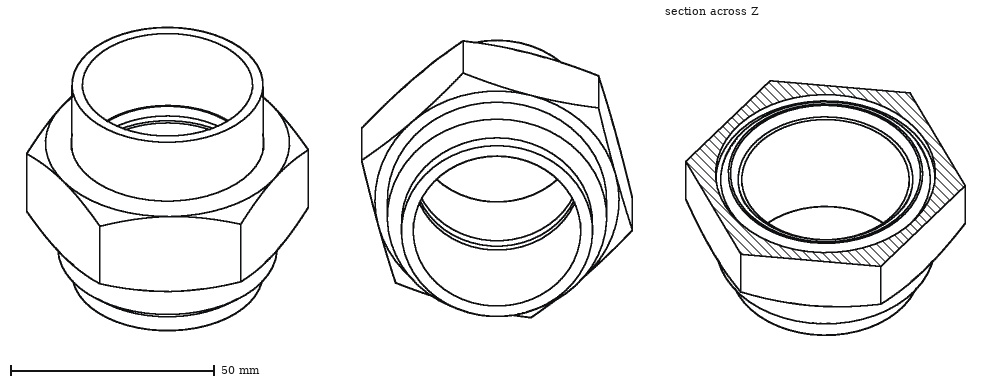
import cadquery as cq
import math

total_height = 58.0
pipe_radius = 23.5
bore_radius = 20.6
socket_radius = 20.9
socket_depth = 22.1

nut_corner_radius = 34.65
nut_bottom = 17.0
nut_top = 40.05
nut_lip_thickness = 3.45
nut_clearance = 0.2
chamfer_angle = 30.0

collar_radius = 26.95
collar_cone_bottom = 4.3
collar_cone_top = 7.6
seat_height = 30.75

tail_bottom = 32.9
seat_lip_width = 0.9

nut_flat_radius = nut_corner_radius * math.cos(math.pi / 6)
chamfer_height = (nut_corner_radius - nut_flat_radius) * math.tan(math.radians(chamfer_angle))
lip_underside = nut_top - nut_lip_thickness
ring_section_radius = tail_bottom - seat_height
ring_centre_radius = bore_radius + seat_lip_width + ring_section_radius


def revolve_profile(points):
    """Revolve a closed outline of (radius, height) points around Z."""
    return cq.Workplane("XZ").polyline(points).close().revolve(360, (0, 0), (0, 1))


def make_seal_ring():
    return (
        cq.Workplane("XZ")
        .center(ring_centre_radius, seat_height)
        .circle(ring_section_radius)
        .revolve(360, (-ring_centre_radius, 0), (-ring_centre_radius, 1))
    )


def make_lower_body():
    blank = revolve_profile([
        (bore_radius, 0),
        (pipe_radius, 0),
        (pipe_radius, collar_cone_bottom),
        (collar_radius, collar_cone_top),
        (collar_radius, seat_height),
        (bore_radius, seat_height),
    ])
    return blank.cut(make_seal_ring()).solids()


def make_tailpiece():
    socket_bottom = total_height - socket_depth
    return revolve_profile([
        (bore_radius, tail_bottom),
        (collar_radius, tail_bottom),
        (collar_radius, lip_underside),
        (pipe_radius, lip_underside),
        (pipe_radius, total_height),
        (socket_radius, total_height),
        (socket_radius, socket_bottom),
        (bore_radius, socket_bottom),
    ])


def make_nut():
    hexagon = (
        cq.Workplane("XY")
        .workplane(offset=nut_bottom)
        .polygon(6, 2 * nut_corner_radius)
        .extrude(nut_top - nut_bottom)
    )
    lip_radius = pipe_radius + nut_clearance
    turned_envelope = revolve_profile([
        (collar_radius, nut_bottom),
        (nut_flat_radius, nut_bottom),
        (nut_corner_radius, nut_bottom + chamfer_height),
        (nut_corner_radius, nut_top - chamfer_height),
        (nut_flat_radius, nut_top),
        (lip_radius, nut_top),
        (lip_radius, lip_underside),
        (collar_radius, lip_underside),
    ])
    return hexagon.intersect(turned_envelope).solids()


lower_body = make_lower_body()
seal_ring = make_seal_ring()
tailpiece = make_tailpiece()
nut = make_nut()

result = cq.Compound.makeCompound([lower_body.val(), seal_ring.val(), tailpiece.val(), nut.val()])